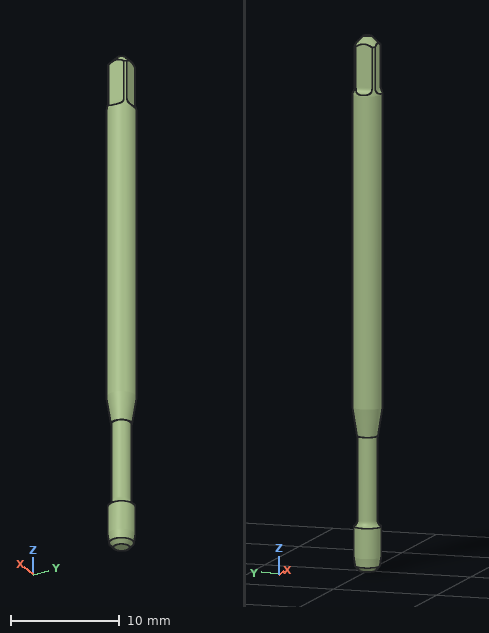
import cadquery as cq
import math

LENGTH = 50.1

BARREL_DIAMETER = 2.8
BARREL_BOTTOM = 12.65
TAPER_TOP = 15.35
TAPER_BOTTOM_DIAMETER = 1.95
SHOULDER_BOTTOM = 44.65
SHOULDER_TOP = 45.25
DRIVE_DIAMETER = 2.55
DRIVE_ACROSS_FLATS = 2.0
FLAT_BOTTOM = 45.4
RUNOUT_RADIUS = 0.75
TIP_DIAMETER = 0.75

ROD_DIAMETER = 1.85
HEAD_DIAMETER = 2.55
HEAD_TOP = 4.15
FLARE_TOP = 4.75
HEAD_TAPER_TOP = 1.3
NOSE_TOP = 0.45
NOSE_DIAMETER = 2.3
NOSE_END_DIAMETER = 1.5


def flat_cutter():
    """Block that mills one drive flat on the -Y side, running out below along a concave arc."""
    flat_y = -DRIVE_ACROSS_FLATS / 2
    outer_y = flat_y - RUNOUT_RADIUS
    diagonal = RUNOUT_RADIUS * math.sqrt(0.5)
    return (
        cq.Workplane("YZ")
        .moveTo(flat_y, LENGTH)
        .lineTo(flat_y, FLAT_BOTTOM)
        .threePointArc(
            (outer_y + diagonal, FLAT_BOTTOM - diagonal),
            (outer_y, FLAT_BOTTOM - RUNOUT_RADIUS),
        )
        .lineTo(outer_y, LENGTH)
        .close()
        .extrude(BARREL_DIAMETER / 2, both=True)
    )


def make_barrel():
    """Round barrel, tapered below, with four flats and a 45 degree point above."""
    drive_radius = DRIVE_DIAMETER / 2
    tip_radius = TIP_DIAMETER / 2
    profile = [
        (0, BARREL_BOTTOM),
        (TAPER_BOTTOM_DIAMETER / 2, BARREL_BOTTOM),
        (BARREL_DIAMETER / 2, TAPER_TOP),
        (BARREL_DIAMETER / 2, SHOULDER_BOTTOM),
        (drive_radius, SHOULDER_TOP),
        (drive_radius, LENGTH - (drive_radius - tip_radius)),
        (tip_radius, LENGTH),
        (0, LENGTH),
    ]
    barrel = cq.Workplane("XZ").polyline(profile).close().revolve(360, (0, 0), (0, 1))
    for side in range(4):
        barrel = barrel.cut(flat_cutter().rotate((0, 0, 0), (0, 0, 1), 90 * side))
    return barrel


def make_plunger():
    """Slim rod flaring into a thicker head with a tapered nose."""
    rod_radius = ROD_DIAMETER / 2
    head_radius = HEAD_DIAMETER / 2
    flare_width = head_radius - rod_radius
    flare_height = FLARE_TOP - HEAD_TOP
    flare_radius = (flare_width**2 + flare_height**2) / (2 * flare_width)
    half_angle = math.asin(flare_height / flare_radius) / 2
    flare_middle = (
        rod_radius + flare_radius * (1 - math.cos(half_angle)),
        FLARE_TOP - flare_radius * math.sin(half_angle),
    )
    return (
        cq.Workplane("XZ")
        .lineTo(NOSE_END_DIAMETER / 2, 0)
        .lineTo(NOSE_DIAMETER / 2, NOSE_TOP)
        .lineTo(head_radius, HEAD_TAPER_TOP)
        .lineTo(head_radius, HEAD_TOP)
        .threePointArc(flare_middle, (rod_radius, FLARE_TOP))
        .lineTo(rod_radius, BARREL_BOTTOM)
        .lineTo(0, BARREL_BOTTOM)
        .close()
        .revolve(360, (0, 0), (0, 1))
    )


barrel = make_barrel()
plunger = make_plunger()
result = cq.Compound.makeCompound([barrel.val(), plunger.val()])